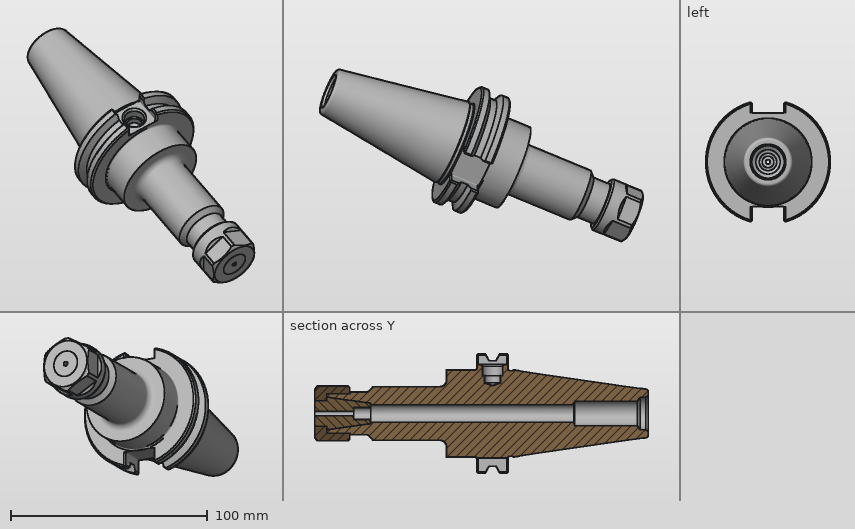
import cadquery as cq
import math

LENGTH = 169.9
DRILL_TIP_ANGLE = 140

GAUGE_DIA = 44.5
GAUGE_X = 68.6
TAPER_SLOPE = 7 / 48
SHANK_END_FILLET = 1.5
RELIEF_DIA = 43.7
RELIEF_CHAMFER = 0.5

FLANGE_DIA = 63.5
FLANGE_START = 71.3
FLANGE_END = 87.3
FLANGE_CHAMFER = 0.8
GROOVE_X = 79.3
GROOVE_FLOOR_DIA = 56.2
GROOVE_FLOOR_WIDTH = 3.5
GROOVE_HALF_ANGLE = 30

SLOT_WIDTH = 16.1
SLOT_CHAMFER = 0.8
SLOT_FLOOR_FILLET = 0.5
TOP_SLOT_FLOOR = 25.0
BOTTOM_SLOT_FLOOR = 22.8

SLOT_HOLE_MOUTH_DIA = 12.2
SLOT_HOLE_DIA = 10.2
SLOT_HOLE_DEPTH = 5.8
SLOT_PILOT_DIA = 8.0
SLOT_PILOT_DEPTH = 9.3

BOSS_DIA = 44.5
BOSS_END = 102.8
BOSS_BASE_FILLET = 0.8
BODY_DIA = 27.3
BODY_BASE_FILLET = 3.4
BODY_END = 140.1
NECK_DIA = 21.9
STUB_DIA = 20.5

MOUTH_DIA = 18.2
PILOT_DIA = 16.5
MOUTH_ANGLE = 60
PILOT_LENGTH = 4.0
PILOT_FLOOR_ANGLE = 100
THREAD_DIA = 12.4
THREAD_END = 37.4
COOLANT_DIA = 8.8

COLLET_REAR_DIA = 10.2
COLLET_FRONT_DIA = 16.5
COLLET_HALF_ANGLE = 8
COLLET_SEAT_END = 163.7
COLLET_NOSE_DIA = 13.5
COLLET_RELIEF_DIA = 6.0
COLLET_RELIEF_LENGTH = 8.5
COLLET_BORE_DIA = 2.2

NUT_DIA = 28.0
NUT_START = 151.9
NUT_REAR_CHAMFER = 1.0
NUT_FRONT_DIA = 24.3
NUT_FRONT_CHAMFER = 1.4
ACROSS_FLATS = 25.1
FRONT_FLATS_START = 160.7
BACK_FLATS_START = 158.6
FLAT_COUNT = 6

COLLET_LENGTH = (COLLET_FRONT_DIA - COLLET_REAR_DIA) / 2 / math.tan(math.radians(COLLET_HALF_ANGLE))
COLLET_START = COLLET_SEAT_END - COLLET_LENGTH


def cone_length(large_dia, small_dia, full_angle):
    return (large_dia - small_dia) / 2 / math.tan(math.radians(full_angle / 2))


def turned(points):
    """Solid of revolution about X from (x, diameter) points, closed along the axis."""
    outline = [(points[0][0], 0)] + [(x, dia / 2) for x, dia in points] + [(points[-1][0], 0)]
    return cq.Workplane("XY").polyline(outline).close().revolve(360, (0, 0, 0), (1, 0, 0))


def shank():
    small_dia = GAUGE_DIA - 2 * GAUGE_X * TAPER_SLOPE
    cone = turned([(0, small_dia), (GAUGE_X, GAUGE_DIA)])
    cone = cone.faces("<X").edges().fillet(SHANK_END_FILLET)
    relief_step = (GAUGE_DIA - RELIEF_DIA) / 2
    relief = turned([
        (GAUGE_X, GAUGE_DIA),
        (GAUGE_X + relief_step, RELIEF_DIA),
        (FLANGE_START - RELIEF_CHAMFER, RELIEF_DIA),
        (FLANGE_START, RELIEF_DIA + 2 * RELIEF_CHAMFER),
    ])
    return cone.union(relief)


def flange():
    groove_rise = (FLANGE_DIA - GROOVE_FLOOR_DIA) / 2 * math.tan(math.radians(GROOVE_HALF_ANGLE))
    floor_half = GROOVE_FLOOR_WIDTH / 2
    mouth_half = floor_half + groove_rise
    rim_dia = FLANGE_DIA - 2 * FLANGE_CHAMFER
    disc = turned([
        (FLANGE_START, rim_dia),
        (FLANGE_START + FLANGE_CHAMFER, FLANGE_DIA),
        (GROOVE_X - mouth_half, FLANGE_DIA),
        (GROOVE_X - floor_half, GROOVE_FLOOR_DIA),
        (GROOVE_X + floor_half, GROOVE_FLOOR_DIA),
        (GROOVE_X + mouth_half, FLANGE_DIA),
        (FLANGE_END - FLANGE_CHAMFER, FLANGE_DIA),
        (FLANGE_END, rim_dia),
    ])
    disc = disc.cut(drive_slot(TOP_SLOT_FLOOR))
    disc = disc.cut(drive_slot(BOTTOM_SLOT_FLOOR).rotate((0, 0, 0), (1, 0, 0), 180))
    return disc.cut(slot_hole())


def drive_slot(floor):
    """Cutter for a slot through the flange at +Z, its end and outer edges broken."""
    width = FLANGE_END - FLANGE_START
    wide = SLOT_WIDTH + 2 * SLOT_CHAMFER
    rim_z = math.sqrt((FLANGE_DIA / 2) ** 2 - (wide / 2) ** 2)
    top = FLANGE_DIA / 2
    channel = (
        cq.Workplane("YZ", origin=(FLANGE_START, 0, 0))
        .polyline([
            (-SLOT_WIDTH / 2, floor),
            (SLOT_WIDTH / 2, floor),
            (SLOT_WIDTH / 2, rim_z - SLOT_CHAMFER),
            (wide / 2, rim_z),
            (wide / 2, top),
            (-wide / 2, top),
            (-wide / 2, rim_z),
            (-SLOT_WIDTH / 2, rim_z - SLOT_CHAMFER),
        ])
        .close()
        .extrude(width)
    )
    end_flare = (
        cq.Workplane("XY", origin=(0, 0, floor))
        .polyline([
            (FLANGE_START, -wide / 2),
            (FLANGE_START + SLOT_CHAMFER, -SLOT_WIDTH / 2),
            (FLANGE_END - SLOT_CHAMFER, -SLOT_WIDTH / 2),
            (FLANGE_END, -wide / 2),
            (FLANGE_END, wide / 2),
            (FLANGE_END - SLOT_CHAMFER, SLOT_WIDTH / 2),
            (FLANGE_START + SLOT_CHAMFER, SLOT_WIDTH / 2),
            (FLANGE_START, wide / 2),
        ])
        .close()
        .extrude(top - floor)
    )
    cutter = channel.union(end_flare)
    return cutter.faces("<Z").edges("not |Y").fillet(SLOT_FLOOR_FILLET)


def slot_hole():
    """Cutter for the stepped hole, with a drill point at its end."""
    mouth = (SLOT_HOLE_MOUTH_DIA - SLOT_HOLE_DIA) / 2
    pilot_floor = TOP_SLOT_FLOOR - SLOT_PILOT_DEPTH
    tip = pilot_floor - cone_length(SLOT_PILOT_DIA, 0, DRILL_TIP_ANGLE)
    step = TOP_SLOT_FLOOR - SLOT_HOLE_DEPTH
    return (
        cq.Workplane("XZ")
        .polyline([
            (0, TOP_SLOT_FLOOR),
            (SLOT_HOLE_MOUTH_DIA / 2, TOP_SLOT_FLOOR),
            (SLOT_HOLE_DIA / 2, TOP_SLOT_FLOOR - mouth),
            (SLOT_HOLE_DIA / 2, step),
            (SLOT_PILOT_DIA / 2, step),
            (SLOT_PILOT_DIA / 2, pilot_floor),
            (0, tip),
        ])
        .close()
        .revolve(360, (0, 0, 0), (0, 1, 0))
        .translate((GROOVE_X, 0, 0))
    )


def front_end():
    """Boss, body, neck and the stub inside the nut, with concave fillets at the two steps."""
    boss_r = BOSS_DIA / 2
    body_r = BODY_DIA / 2
    neck_r = NECK_DIA / 2
    bend = 1 - math.sqrt(0.5)
    return (
        cq.Workplane("XY")
        .moveTo(FLANGE_END, 0)
        .lineTo(FLANGE_END, boss_r + BOSS_BASE_FILLET)
        .threePointArc(
            (FLANGE_END + bend * BOSS_BASE_FILLET, boss_r + bend * BOSS_BASE_FILLET),
            (FLANGE_END + BOSS_BASE_FILLET, boss_r),
        )
        .lineTo(BOSS_END, boss_r)
        .lineTo(BOSS_END, body_r + BODY_BASE_FILLET)
        .threePointArc(
            (BOSS_END + bend * BODY_BASE_FILLET, body_r + bend * BODY_BASE_FILLET),
            (BOSS_END + BODY_BASE_FILLET, body_r),
        )
        .lineTo(BODY_END, body_r)
        .lineTo(BODY_END + body_r - neck_r, neck_r)
        .lineTo(NUT_START, neck_r)
        .lineTo(NUT_START, STUB_DIA / 2)
        .lineTo(COLLET_SEAT_END, STUB_DIA / 2)
        .lineTo(COLLET_SEAT_END, 0)
        .close()
        .revolve(360, (0, 0, 0), (1, 0, 0))
    )


def bore():
    """Cutter for the draw-bar bore, the coolant bore and the collet seat."""
    mouth = cone_length(MOUTH_DIA, PILOT_DIA, MOUTH_ANGLE)
    pilot_step = cone_length(PILOT_DIA, THREAD_DIA, PILOT_FLOOR_ANGLE)
    return turned([
        (0, MOUTH_DIA),
        (mouth, PILOT_DIA),
        (PILOT_LENGTH, PILOT_DIA),
        (PILOT_LENGTH + pilot_step, THREAD_DIA),
        (THREAD_END, THREAD_DIA),
        (THREAD_END + cone_length(THREAD_DIA, COOLANT_DIA, DRILL_TIP_ANGLE), COOLANT_DIA),
        (COLLET_START, COOLANT_DIA),
        (COLLET_START, COLLET_REAR_DIA),
        (COLLET_SEAT_END, COLLET_FRONT_DIA),
    ])


def make_holder():
    return shank().union(flange()).union(front_end()).cut(bore())


def make_collet():
    body = turned([
        (COLLET_START, COLLET_REAR_DIA),
        (COLLET_SEAT_END, COLLET_FRONT_DIA),
        (COLLET_SEAT_END, COLLET_NOSE_DIA),
        (LENGTH, COLLET_NOSE_DIA),
    ])
    hole = turned([
        (COLLET_START, COLLET_RELIEF_DIA),
        (COLLET_START + COLLET_RELIEF_LENGTH, COLLET_RELIEF_DIA),
        (COLLET_START + COLLET_RELIEF_LENGTH, COLLET_BORE_DIA),
        (LENGTH, COLLET_BORE_DIA),
    ])
    return body.cut(hole)


def flat_cutter(start, angle):
    """Block that mills one spanner flat; its shoulder rises at 45 degrees. Angle 0 faces +Y."""
    flat_y = ACROSS_FLATS / 2
    depth = NUT_DIA / 2 - flat_y
    return (
        cq.Workplane("XY", origin=(0, 0, -NUT_DIA / 2))
        .polyline([
            (start, flat_y),
            (LENGTH, flat_y),
            (LENGTH, flat_y + depth),
            (start - depth, flat_y + depth),
        ])
        .close()
        .extrude(NUT_DIA)
        .rotate((0, 0, 0), (1, 0, 0), angle)
    )


def make_nut():
    nut = turned([
        (NUT_START, NUT_DIA - 2 * NUT_REAR_CHAMFER),
        (NUT_START + NUT_REAR_CHAMFER, NUT_DIA),
        (LENGTH - NUT_FRONT_CHAMFER, NUT_DIA),
        (LENGTH, NUT_FRONT_DIA),
    ])
    for index in range(FLAT_COUNT):
        angle = index * 360 / FLAT_COUNT
        faces_back = math.cos(math.radians(angle)) > 0
        start = BACK_FLATS_START if faces_back else FRONT_FLATS_START
        nut = nut.cut(flat_cutter(start, angle))
    opening = turned([
        (NUT_START, STUB_DIA),
        (COLLET_SEAT_END, STUB_DIA),
        (COLLET_SEAT_END, COLLET_NOSE_DIA),
        (LENGTH, COLLET_NOSE_DIA),
    ])
    return nut.cut(opening)


holder = make_holder()
collet = make_collet()
nut = make_nut()

result = cq.Compound.makeCompound([holder.val(), collet.val(), nut.val()])